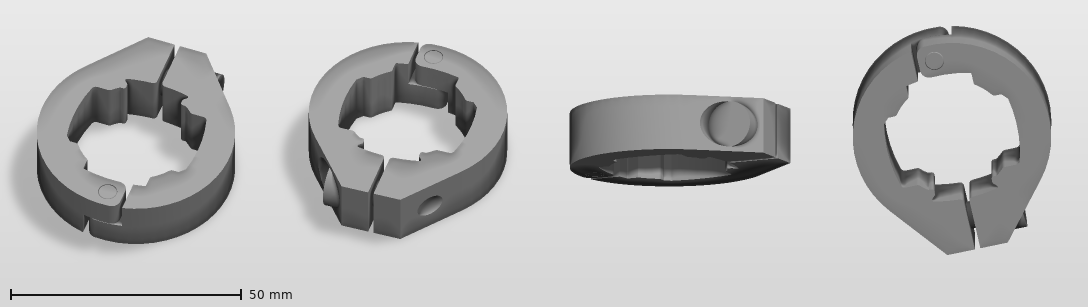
import cadquery as cq
import math

outer_radius = 21.5
ring_top = 26.0
overall_height = 12.0
ear_half_width = 6.7
slot_half_width = 0.6
slot_corner_radius = 0.85

bore_reach = 14.35
upper_bore_reach = 14.2
bore_arc_radius = 31.0
pad_radius = 13.0
recess_half_width = 7.2
upper_step_y = 9.02
lower_step_y = -7.3
lower_chamfer_y = -6.05
lower_chamfer_x = 12.55
nub_x = 6.35
nub_bottom_y = 10.6
nub_top_y = 12.0
nub_root_y = nub_top_y + recess_half_width - nub_x
nub_radius = 0.55
nub_pad_radius = 0.55
recess_corner_radius = 0.35
side_corner_radius = 1.0
upper_pad_radius = 1.0
lower_pad_radius = 0.85
lower_pad_inner_radius = 0.3

hinge_y = -17.8
knuckle_reach = 3.5
knuckle_corner_radius = 2.0
knuckle_pocket_reach = 4.5
knuckle_gap = 0.15
pin_radius = 2.1
pin_chamfer = 0.2

screw_y = 20.0
shank_radius = 3.0
screw_tip_radius = 2.5
head_radius = 5.0
head_length = 6.0
head_end_x = 11.25
head_seat_x = head_end_x - head_length
shank_end_x = -head_seat_x
screw_tip_x = -8.55

FAR = 2 * ring_top


def shallow_arc_reach(offset, reach=bore_reach):
    """Distance from the centre to a shallow bore arc, at an offset from its axis."""
    return reach - bore_arc_radius + math.sqrt(bore_arc_radius**2 - offset**2)


def on_pad_circle(coordinate):
    """Other coordinate of a point on the pad circle."""
    return math.sqrt(pad_radius**2 - coordinate**2)


def centred_prism(sketch):
    return sketch.extrude(overall_height / 2, both=True)


def block(x_min, x_max, y_min, y_max, z_min, z_max):
    size = (x_max - x_min, y_max - y_min, z_max - z_min)
    return cq.Workplane("XY").box(*size, centered=False).translate((x_min, y_min, z_min))


def x_cylinder(radius, x_min, x_max):
    """Cylinder on the screw axis."""
    return cq.Workplane("YZ", origin=(x_min, screw_y, 0)).circle(radius).extrude(x_max - x_min)


def pin_cylinder():
    return centred_prism(cq.Workplane("XY").center(0, hinge_y).circle(pin_radius))


def outer_prism():
    """Round ring whose flanks run tangentially up to the ears."""
    ear_distance = math.hypot(ear_half_width, ring_top)
    tangent_angle = math.atan2(ring_top, ear_half_width) - math.acos(outer_radius / ear_distance)
    tangent_x = outer_radius * math.cos(tangent_angle)
    tangent_y = outer_radius * math.sin(tangent_angle)
    return centred_prism(
        cq.Workplane("XY")
        .moveTo(-ear_half_width, ring_top)
        .lineTo(ear_half_width, ring_top)
        .lineTo(tangent_x, tangent_y)
        .threePointArc((0, -outer_radius), (-tangent_x, tangent_y))
        .close()
    )


def round_corners(body, corner_x, corner_y, radius):
    """Round the upright edges at +/- corner_x, corner_y."""
    reach = 0.05
    for x in (-corner_x, corner_x):
        selector = cq.selectors.BoxSelector(
            (x - reach, corner_y - reach, -overall_height),
            (x + reach, corner_y + reach, overall_height),
        )
        body = body.edges("|Z").edges(selector).fillet(radius)
    return body


def bore_prism():
    """Stepped bore together with the clamping slot, symmetric about X = 0."""
    recess_y = shallow_arc_reach(recess_half_width)
    upper_recess_y = shallow_arc_reach(recess_half_width, upper_bore_reach)
    slot_y = shallow_arc_reach(slot_half_width, upper_bore_reach)
    upper_side_x = shallow_arc_reach(upper_step_y)
    lower_side_x = shallow_arc_reach(lower_chamfer_y)
    nub_pad_x = on_pad_circle(nub_bottom_y)
    upper_pad_x = on_pad_circle(upper_step_y)
    lower_pad_x = on_pad_circle(lower_step_y)
    lower_pad_y = -on_pad_circle(recess_half_width)
    pad_middle = pad_radius * math.sqrt(0.5)
    upper_middle_y = (nub_bottom_y + upper_step_y) / 2
    recess_middle_x = (slot_half_width + recess_half_width) / 2

    right_half = centred_prism(
        cq.Workplane("XY")
        .moveTo(0, -bore_reach)
        .threePointArc(
            (recess_half_width / 2, -shallow_arc_reach(recess_half_width / 2)),
            (recess_half_width, -recess_y),
        )
        .lineTo(recess_half_width, lower_pad_y)
        .threePointArc((pad_middle, -pad_middle), (lower_pad_x, lower_step_y))
        .lineTo(lower_chamfer_x, lower_step_y)
        .lineTo(lower_side_x, lower_chamfer_y)
        .threePointArc((bore_reach, 0), (upper_side_x, upper_step_y))
        .lineTo(upper_pad_x, upper_step_y)
        .threePointArc((on_pad_circle(upper_middle_y), upper_middle_y), (nub_pad_x, nub_bottom_y))
        .lineTo(nub_x, nub_bottom_y)
        .lineTo(nub_x, nub_top_y)
        .lineTo(recess_half_width, nub_root_y)
        .lineTo(recess_half_width, upper_recess_y)
        .threePointArc(
            (recess_middle_x, shallow_arc_reach(recess_middle_x, upper_bore_reach)),
            (slot_half_width, slot_y),
        )
        .lineTo(slot_half_width, FAR)
        .lineTo(0, FAR)
        .close()
    )
    bore = right_half.union(right_half.mirror("YZ"))

    corners = [
        (slot_half_width, slot_y, slot_corner_radius),
        (recess_half_width, upper_recess_y, recess_corner_radius),
        (recess_half_width, -recess_y, recess_corner_radius),
        (nub_x, nub_bottom_y, nub_radius),
        (nub_pad_x, nub_bottom_y, nub_pad_radius),
        (upper_pad_x, upper_step_y, upper_pad_radius),
        (upper_side_x, upper_step_y, side_corner_radius),
        (lower_pad_x, lower_step_y, lower_pad_radius),
        (recess_half_width, lower_pad_y, lower_pad_inner_radius),
    ]
    for x, y, radius in corners:
        bore = round_corners(bore, x, y, radius)
    return bore


def left_half_space():
    """Region of the left jaw: its side of the ring plus the upper knuckle."""
    upper = block(-FAR, 0, -FAR, FAR, knuckle_gap / 2, FAR)
    lower = block(-FAR, -knuckle_pocket_reach, -FAR, 0, -FAR, knuckle_gap / 2)
    lower_ear = block(-FAR, 0, 0, FAR, -FAR, knuckle_gap / 2)
    knuckle = block(-knuckle_pocket_reach, knuckle_reach, -FAR, 0, knuckle_gap / 2, FAR)
    return upper.union(lower).union(lower_ear).union(knuckle)


def plain_left_jaw():
    """Left jaw without its screw hole."""
    ring = outer_prism().cut(bore_prism())
    jaw = ring.intersect(left_half_space())
    tip_edges = cq.selectors.BoxSelector(
        (knuckle_reach - knuckle_gap, -FAR, 0),
        (knuckle_reach + knuckle_gap, 0, overall_height),
    )
    jaw = jaw.edges("|Z").edges(tip_edges).fillet(knuckle_corner_radius)
    return jaw.cut(pin_cylinder())


def make_hinge_pin():
    return pin_cylinder().faces("|Z").edges().chamfer(pin_chamfer)


def make_screw():
    head = x_cylinder(head_radius, head_seat_x, head_end_x)
    shank = x_cylinder(shank_radius, shank_end_x, head_seat_x)
    tip = x_cylinder(screw_tip_radius, screw_tip_x, shank_end_x)
    return head.union(shank).union(tip)


def make_left_jaw(blank):
    """Stepped hole for the shank and the tip, open at the flank."""
    shank_hole = x_cylinder(shank_radius, shank_end_x, 0)
    tip_hole = x_cylinder(screw_tip_radius, -FAR, shank_end_x)
    return blank.cut(shank_hole).cut(tip_hole)


def make_right_jaw(blank):
    """The left jaw turned half a turn about Y, with a counterbored screw hole."""
    jaw = blank.rotate((0, 0, 0), (0, 1, 0), 180)
    shank_hole = x_cylinder(shank_radius, 0, head_seat_x)
    counterbore = x_cylinder(head_radius, head_seat_x, FAR)
    return jaw.cut(shank_hole).cut(counterbore)


jaw_blank = plain_left_jaw()
left_jaw = make_left_jaw(jaw_blank)
right_jaw = make_right_jaw(jaw_blank)
hinge_pin = make_hinge_pin()
screw = make_screw()

result = cq.Compound.makeCompound([left_jaw.val(), right_jaw.val(), hinge_pin.val(), screw.val()])